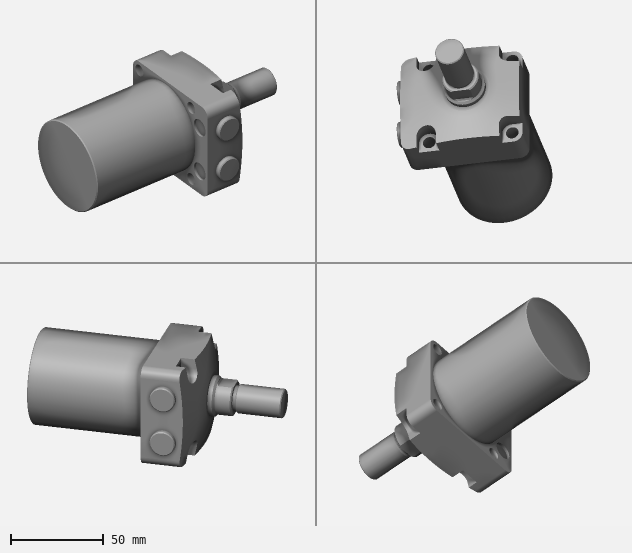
import cadquery as cq
import math


half_height = 28.5
right_reach = 37.5
corner_radius = 5.0
dome_top = 30.0
dome_flat_radius = 13.4
dome_angle = 15.0

barrel_diameter = 53.0
barrel_radius = barrel_diameter / 2
barrel_length = 66.5
barrel_chamfer = 0.5

collar_radius = 11.2
collar_height = 3.7
collar_chamfer = 1.2

hole_offset = 23.0
hole_diameter = 7.0
slot_radius = 5.6
notch_inner = 17.5
notch_radius = 5.0
pocket_floor = 17.2

port_x = 30.5
port_z = 14.0
port_diameter = 10.4
port_depth = 1.5

plug_y = 12.7
plug_z = 13.0
plug_diameter = 14.0
plug_height = 2.9
plug_chamfer = 0.5

rod_tip = 70.0
rod_radius = 10.0
shoulder_end = 42.9
shoulder_chamfer = 0.7
neck_radius = 7.1
thread_diameter = 16.0
thread_radius = thread_diameter / 2
thread_start = 44.5
thread_start_chamfer = 0.7
thread_tip_chamfer = 0.5
flats_width = 16.9
flats_start = 34.5

overlap = 1.4
collar_top = dome_top + collar_height


def revolve_about_y(points):
    """Solid of revolution from (radius, Y) points."""
    return cq.Workplane("XY").polyline(points).close().revolve(360, (0, 0), (0, 1))


def y_cylinder(x, z, radius, y_start, y_end):
    """Cylinder along Y between two Y positions."""
    return cq.Workplane(cq.Solid.makeCylinder(
        radius, y_end - y_start, cq.Vector(x, y_start, z), cq.Vector(0, 1, 0)))


def block(x_range, y_range, z_range):
    """Box given by its limits along each axis."""
    size = [high - low for low, high in (x_range, y_range, z_range)]
    corner = (x_range[0], y_range[0], z_range[0])
    return cq.Workplane("XY").box(*size, centered=False).translate(corner)


def make_flange():
    plate = block((-half_height, right_reach), (0, dome_top), (-half_height, half_height))
    plate = plate.edges("|Y").fillet(corner_radius)
    dome_reach = math.hypot(half_height, right_reach) + overlap
    drop = (dome_reach - dome_flat_radius) * math.tan(math.radians(dome_angle))
    dome = revolve_about_y([
        (0, 0),
        (dome_reach, 0),
        (dome_reach, dome_top - drop),
        (dome_flat_radius, dome_top),
        (0, dome_top),
    ])
    return plate.intersect(dome)


def make_barrel():
    return revolve_about_y([
        (0, 0),
        (barrel_radius, 0),
        (barrel_radius, barrel_chamfer - barrel_length),
        (barrel_radius - barrel_chamfer, -barrel_length),
        (0, -barrel_length),
    ])


def make_collar():
    return revolve_about_y([
        (0, 0),
        (collar_radius, 0),
        (collar_radius, collar_top - collar_chamfer),
        (collar_radius - collar_chamfer, collar_top),
        (0, collar_top),
    ])


def bolt_slot():
    """Round-ended slot around the +X +Z hole, open to the +Z side."""
    depth = (pocket_floor, dome_top)
    left = hole_offset - slot_radius
    right = hole_offset + slot_radius
    opening = block((left, right), depth, (hole_offset, half_height + overlap))
    return opening.union(y_cylinder(hole_offset, hole_offset, slot_radius, *depth))


def corner_notch():
    """Notch around the -X +Z hole, open to both outer sides, with a rounded inner corner."""
    outer = half_height + overlap
    notch = block((-outer, -notch_inner), (pocket_floor, dome_top), (notch_inner, outer))
    return notch.edges("|Y and >X and <Z").fillet(notch_radius)


def make_housing():
    housing = make_flange().union(make_barrel()).union(make_collar())
    for pocket in (bolt_slot(), corner_notch()):
        housing = housing.cut(pocket).cut(pocket.mirror("XY"))
    for z_side in (-1, 1):
        for x_side in (-1, 1):
            hole = y_cylinder(hole_offset * x_side, hole_offset * z_side,
                              hole_diameter / 2, 0, dome_top)
            housing = housing.cut(hole)
        port = y_cylinder(port_x, port_z * z_side, port_diameter / 2, 0, port_depth)
        housing = housing.cut(port)
    return housing


def wrench_flat():
    """Cutting shape of the +Z wrench flat; its collar end runs out at 45 degrees."""
    half_width = flats_width / 2
    height = rod_radius + overlap - half_width
    return (
        cq.Workplane("YZ")
        .moveTo(flats_start, half_width)
        .lineTo(shoulder_end, half_width)
        .lineTo(shoulder_end, half_width + height)
        .lineTo(flats_start - height, half_width + height)
        .close()
        .extrude(rod_radius, both=True)
    )


def make_rod():
    rod = revolve_about_y([
        (0, collar_top),
        (rod_radius, collar_top),
        (rod_radius, shoulder_end - shoulder_chamfer),
        (rod_radius - shoulder_chamfer, shoulder_end),
        (neck_radius, shoulder_end),
        (neck_radius, thread_start),
        (thread_radius - thread_start_chamfer, thread_start),
        (thread_radius, thread_start + thread_start_chamfer),
        (thread_radius, rod_tip - thread_tip_chamfer),
        (thread_radius - thread_tip_chamfer, rod_tip),
        (0, rod_tip),
    ])
    return rod.cut(wrench_flat()).cut(wrench_flat().mirror("XY"))


def make_plug(z_side):
    """Round plug standing on the +X side of the flange."""
    plug = cq.Workplane("YZ", origin=(right_reach, plug_y, plug_z * z_side))
    plug = plug.circle(plug_diameter / 2).extrude(plug_height)
    return plug.faces(">X").chamfer(plug_chamfer)


housing = make_housing()
rod = make_rod()
plugs = [make_plug(z_side) for z_side in (-1, 1)]

result = cq.Compound.makeCompound([housing.val(), rod.val(), *[plug.val() for plug in plugs]])